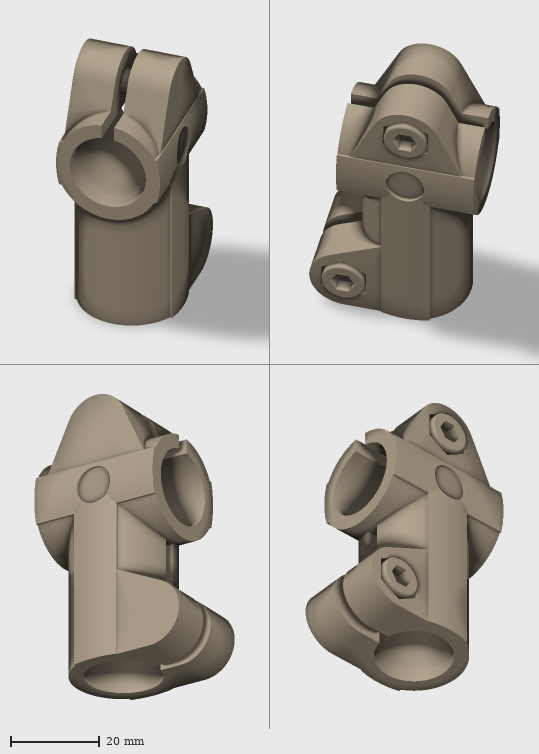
import cadquery as cq
import math


tube_radius = 12.5
bore_radius = 9.1
cross_tube_length = 32.0
cross_axis_height = 43.0

pad_half_height = 5.7
pad_radius = 22.0
pad_edge_x = tube_radius - pad_radius + math.sqrt(pad_radius**2 - pad_half_height**2)

slot_width = 3.0
lug_half_width = 11.5
lug_radius = 8.0
lug_base_half_length = 13.0
screw_offset = 14.5

head_radius = 5.0
head_height = 6.0
head_fillet = 0.5
shank_radius = 3.0
socket_width = 5.0
socket_depth = 3.0
pocket_width = 10.5
screw_head_x = -tube_radius
pocket_floor_x = screw_head_x + head_height

recess_radius = 4.5

upright_bore_depth = cross_axis_height - tube_radius

overall_width = 2 * tube_radius
lug_top = screw_offset + lug_radius


def box_between(x_range, y_range, z_range):
    sizes = [end - start for start, end in (x_range, y_range, z_range)]
    corner = (x_range[0], y_range[0], z_range[0])
    return cq.Workplane("XY").box(*sizes, centered=False).translate(corner)


def round_bar(radius, y_start, y_end):
    bar = cq.Workplane("XZ").circle(radius).extrude(y_start - y_end)
    return bar.translate((0, y_start, 0))


def pads(y_start, y_end):
    outline = (
        cq.Workplane("XZ")
        .moveTo(-pad_edge_x, -pad_half_height)
        .lineTo(pad_edge_x, -pad_half_height)
        .threePointArc((tube_radius, 0), (pad_edge_x, pad_half_height))
        .lineTo(-pad_edge_x, pad_half_height)
        .threePointArc((-tube_radius, 0), (-pad_edge_x, -pad_half_height))
        .close()
    )
    return outline.extrude(y_start - y_end).translate((0, y_start, 0))


def lug(lug_y, straight_foot_side):
    """Rounded lug with tangent sloped sides; the +Y side may be straight instead."""
    rise = screw_offset - pad_half_height
    base_to_center = math.hypot(lug_base_half_length, rise)
    slope_from_vertical = math.atan2(lug_base_half_length, rise) - math.asin(lug_radius / base_to_center)
    tangent_y = lug_radius * math.cos(slope_from_vertical)
    tangent_z = screw_offset + lug_radius * math.sin(slope_from_vertical)
    if straight_foot_side:
        foot_base = (lug_radius, pad_half_height)
        foot_tangent = (lug_radius, screw_offset)
    else:
        foot_base = (lug_base_half_length, pad_half_height)
        foot_tangent = (tangent_y, tangent_z)
    outline = (
        cq.Workplane("YZ")
        .moveTo(-lug_base_half_length, pad_half_height)
        .lineTo(*foot_base)
        .lineTo(*foot_tangent)
        .threePointArc((0, lug_top), (-tangent_y, tangent_z))
        .close()
    )
    return outline.extrude(lug_half_width, both=True).translate((0, lug_y, 0))


def clamp_body(lug_y, y_start, y_end, straight_foot_side):
    body = round_bar(tube_radius, y_start, y_end)
    body = body.union(pads(y_start, y_end))
    return body.union(lug(lug_y, straight_foot_side))


def hexagon(across_flats, x_start, depth, turn):
    """Hexagonal prism along +X; with no turn its corners point along Y."""
    across_corners = across_flats / math.cos(math.pi / 6)
    prism = cq.Workplane("YZ").polygon(6, across_corners).extrude(depth)
    return prism.rotate((0, 0, 0), (1, 0, 0), turn).translate((x_start, 0, 0))


def clamp_cuts(lug_y, y_start, y_end, pocket_turn):
    """Bore, clamping slot and hexagonal screw pocket."""
    half_slot = slot_width / 2
    bore = round_bar(bore_radius, y_start, y_end)
    slot = box_between((-half_slot, half_slot), (y_start, y_end), (0, lug_top))
    pocket = hexagon(pocket_width, screw_head_x, head_height, pocket_turn)
    return bore.union(slot).union(pocket.translate((0, lug_y, screw_offset)))


def screw(lug_y, socket_turn):
    """Socket head screw whose shank ends flush with the far lug face."""
    head = cq.Workplane("YZ").circle(head_radius).extrude(head_height)
    head = head.faces("<X").edges().fillet(head_fillet).translate((screw_head_x, 0, 0))
    shank_length = lug_half_width - pocket_floor_x
    shank = cq.Workplane("YZ").circle(shank_radius).extrude(shank_length)
    body = head.union(shank.translate((pocket_floor_x, 0, 0)))
    body = body.cut(hexagon(socket_width, screw_head_x, socket_depth, socket_turn))
    return body.translate((0, lug_y, screw_offset))


def place_cross(shape):
    return shape.translate((0, 0, cross_axis_height))


def place_upright(shape):
    """Turn local -Y up and the lug toward +Y."""
    return shape.rotate((0, 0, 0), (1, 0, 0), -90)


def flank_recesses():
    """Cuts that leave round flats level with the lug faces."""
    bar = cq.Workplane("YZ").circle(recess_radius).extrude(overall_width, both=True)
    core = box_between(
        (-lug_half_width, lug_half_width),
        (-tube_radius, tube_radius),
        (-tube_radius, tube_radius),
    )
    return bar.cut(core)


cross_ends = (-cross_tube_length / 2, cross_tube_length / 2)
cross_lug_y = 0.0
upright_foot = 0.0
upright_lug_y = upright_foot - lug_radius
quarter_turn = 90

result = place_cross(clamp_body(cross_lug_y, *cross_ends, False))
result = result.union(
    place_upright(clamp_body(upright_lug_y, -cross_axis_height, upright_foot, True))
)
result = result.cut(place_cross(clamp_cuts(cross_lug_y, *cross_ends, quarter_turn)))
result = result.cut(
    place_upright(clamp_cuts(upright_lug_y, -upright_bore_depth, upright_foot, 0))
)
result = result.cut(place_cross(flank_recesses()))
result = result.union(place_cross(screw(cross_lug_y, 0)))
result = result.union(place_upright(screw(upright_lug_y, quarter_turn)))